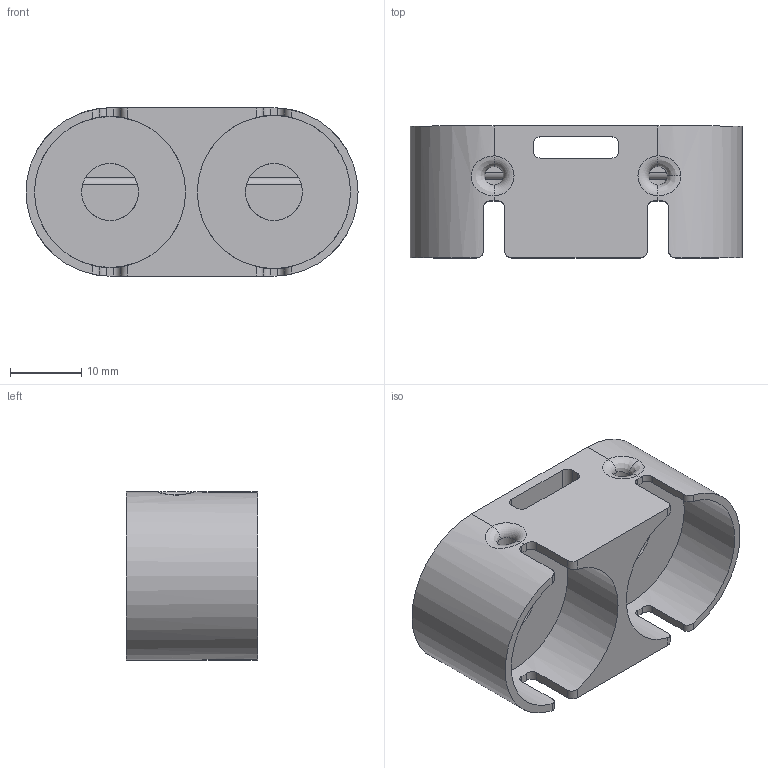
import cadquery as cq

HEIGHT = 23.6
CELL_PITCH = 23.0
DEPTH = 18.5
BORE_DEPTH = 10.0
LEFT_BORE_DIAMETER = 21.2
RIGHT_BORE_DIAMETER = 21.5

RECESS_DIAMETER = 8.0
RECESS_DEPTH = 1.0
STEP_HEIGHT = 2.0
STEP_DEPTH = 2.0
STEP_ROUND = 1.0

WIRE_HOLE_DIAMETER = 2.6
WIRE_HOLE_FROM_BACK = 7.0
WIRE_HOLE_ROUND = 1.5

NOTCH_WIDTH = 3.0
NOTCH_LENGTH = 8.0
NOTCH_ROUND = 1.0

SLOT_LENGTH = 12.0
SLOT_WIDTH = 3.0
SLOT_FROM_BACK = 1.5
SLOT_ROUND = 1.0

LENGTH = CELL_PITCH + HEIGHT
HALF_HEIGHT = HEIGHT / 2
FRONT_Y = -DEPTH
FLOOR_Y = FRONT_Y + BORE_DEPTH
RECESS_Y = FLOOR_Y + RECESS_DEPTH
STEP_Y = RECESS_Y + STEP_DEPTH
CELLS = (
    (-CELL_PITCH / 2, LEFT_BORE_DIAMETER),
    (CELL_PITCH / 2, RIGHT_BORE_DIAMETER),
)


def cylinder_along_y(x, diameter, start_y, end_y):
    """Cylinder on a bore axis, running from start_y back to end_y."""
    return (
        cq.Workplane("XZ", origin=(x, start_y, 0))
        .circle(diameter / 2)
        .extrude(start_y - end_y)
    )


def make_block():
    return (
        cq.Workplane("XZ")
        .slot2D(LENGTH, HEIGHT)
        .extrude(DEPTH)
    )


def drill_wire_hole(block, x):
    """Hole from the top face down to the step height, with a rounded mouth."""
    hole = (
        cq.Workplane("XY", origin=(x, -WIRE_HOLE_FROM_BACK, STEP_HEIGHT))
        .circle(WIRE_HOLE_DIAMETER / 2)
        .extrude(HEIGHT)
    )
    mouth = cq.selectors.BoxSelector(
        (x - WIRE_HOLE_DIAMETER, -WIRE_HOLE_FROM_BACK - WIRE_HOLE_DIAMETER, HALF_HEIGHT - WIRE_HOLE_ROUND),
        (x + WIRE_HOLE_DIAMETER, -WIRE_HOLE_FROM_BACK + WIRE_HOLE_DIAMETER, HALF_HEIGHT + WIRE_HOLE_ROUND),
    )
    return block.cut(hole).edges(mouth).edges("not #Z").fillet(WIRE_HOLE_ROUND)


def make_recess(x):
    """Round recess that is deeper above a rounded step."""
    recess = cylinder_along_y(x, RECESS_DIAMETER, FLOOR_Y, STEP_Y)
    step = (
        cq.Workplane("XY")
        .box(RECESS_DIAMETER, 2 * STEP_DEPTH, RECESS_DIAMETER, centered=(True, False, False))
        .edges("|X and <Y and >Z")
        .fillet(STEP_ROUND)
        .translate((x, RECESS_Y, STEP_HEIGHT - RECESS_DIAMETER))
    )
    return recess.cut(step)


def make_notch(x):
    """Vertical cutter with rounded inner corners and flared rounded corners at the front."""
    half_width = NOTCH_WIDTH / 2
    mouth_half = half_width + NOTCH_ROUND
    shoulder_y = FRONT_Y + NOTCH_ROUND
    end_y = FRONT_Y + NOTCH_LENGTH
    inset = half_width - NOTCH_ROUND
    return (
        cq.Workplane("XY", origin=(x, 0, -HEIGHT))
        .moveTo(-mouth_half, FRONT_Y)
        .radiusArc((-half_width, shoulder_y), -NOTCH_ROUND)
        .lineTo(-half_width, end_y - NOTCH_ROUND)
        .radiusArc((-inset, end_y), NOTCH_ROUND)
        .lineTo(inset, end_y)
        .radiusArc((half_width, end_y - NOTCH_ROUND), NOTCH_ROUND)
        .lineTo(half_width, shoulder_y)
        .radiusArc((mouth_half, FRONT_Y), -NOTCH_ROUND)
        .close()
        .extrude(2 * HEIGHT)
    )


def make_strap_slot():
    return (
        cq.Workplane("XY", origin=(0, -SLOT_FROM_BACK - SLOT_WIDTH / 2, 0))
        .box(SLOT_LENGTH, SLOT_WIDTH, HEIGHT)
        .edges("|Z")
        .fillet(SLOT_ROUND)
    )


result = make_block()
for cell_x, bore_diameter in CELLS:
    result = drill_wire_hole(result, cell_x)
    result = result.cut(cylinder_along_y(cell_x, bore_diameter, FRONT_Y, FLOOR_Y))
    result = result.cut(make_recess(cell_x))
    result = result.cut(make_notch(cell_x))
result = result.cut(make_strap_slot())